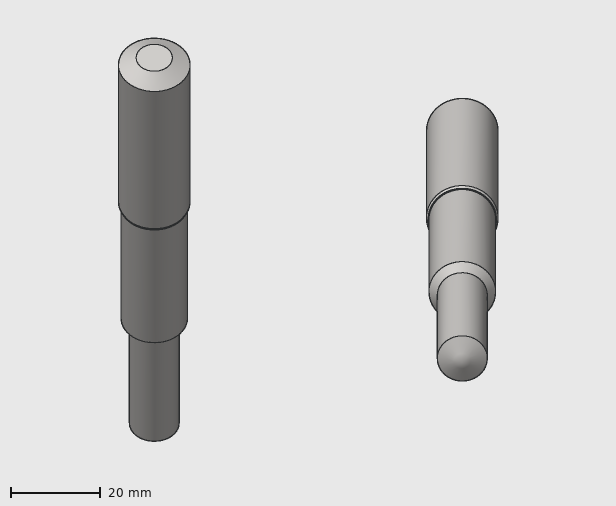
import cadquery as cq

TOTAL_LENGTH = 124.0

HEAD_DIAMETER = 16.0
CROWN_DIAMETER = 8.0
CROWN_HEIGHT = 2.4
HEAD_LOWER_EDGE = 75.9
HEAD_CHAMFER_INSET = 0.4
HEAD_CHAMFER_HEIGHT = 0.6
LIP_HEIGHT = 0.2
LIP_TOP = HEAD_LOWER_EDGE - HEAD_CHAMFER_HEIGHT
LIP_BOTTOM = LIP_TOP - LIP_HEIGHT

BARREL_DIAMETER = 14.9
BARREL_LOWER_EDGE = 37.2
BARREL_CHAMFER = 1.9
HOLDER_BOTTOM = BARREL_LOWER_EDGE - BARREL_CHAMFER

PIN_DIAMETER = BARREL_DIAMETER - 2 * BARREL_CHAMFER
POINT_HEIGHT = 2.2
SOCKET_TOP = BARREL_LOWER_EDGE


def revolve_about_z(profile):
    """Turn a closed half profile in the XZ plane into a full solid of revolution."""
    return profile.revolve(360, (0, 0, 0), (0, 1, 0))


def make_holder():
    """Head and barrel in one piece, with the pin socket opening at the lower end."""
    head_radius = HEAD_DIAMETER / 2
    lip_radius = head_radius - HEAD_CHAMFER_INSET
    barrel_radius = BARREL_DIAMETER / 2
    socket_radius = PIN_DIAMETER / 2
    profile = (
        cq.Workplane("XZ")
        .moveTo(0, SOCKET_TOP)
        .lineTo(socket_radius, SOCKET_TOP)
        .lineTo(socket_radius, HOLDER_BOTTOM)
        .lineTo(barrel_radius, BARREL_LOWER_EDGE)
        .lineTo(barrel_radius, LIP_BOTTOM)
        .lineTo(lip_radius, LIP_BOTTOM)
        .lineTo(lip_radius, LIP_TOP)
        .lineTo(head_radius, HEAD_LOWER_EDGE)
        .lineTo(head_radius, TOTAL_LENGTH - CROWN_HEIGHT)
        .lineTo(CROWN_DIAMETER / 2, TOTAL_LENGTH)
        .lineTo(0, TOTAL_LENGTH)
        .close()
    )
    return revolve_about_z(profile)


def make_pin():
    """Pin that fills the socket and ends in a conical point."""
    pin_radius = PIN_DIAMETER / 2
    profile = (
        cq.Workplane("XZ")
        .lineTo(pin_radius, POINT_HEIGHT)
        .lineTo(pin_radius, SOCKET_TOP)
        .lineTo(0, SOCKET_TOP)
        .close()
    )
    return revolve_about_z(profile)


holder = make_holder()
pin = make_pin()

result = cq.Compound.makeCompound([holder.val(), pin.val()])